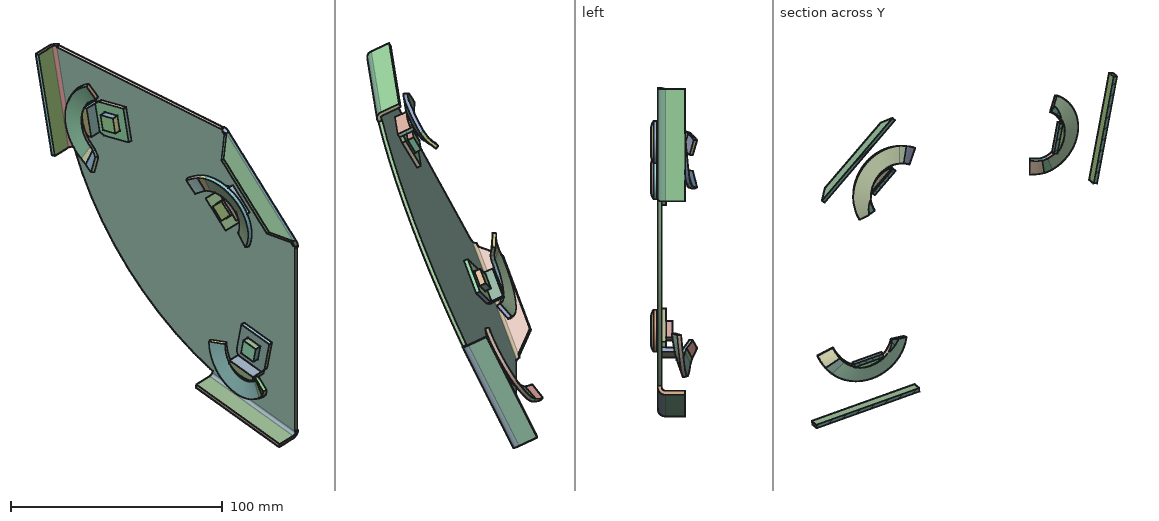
import cadquery as cq
import math


sheet = 2.0
arc_radius = 149.5
flange_depth = 13.0
bend_radius = 3.5

side_length = 54.0
side_tilt = math.radians(11.0)
edge_overhang = bend_radius * math.sin(side_tilt)
overall_width = 155.34
side_start = edge_overhang - overall_width

corner_cut = 29.35
corner_overhang = 0.4

lock_sites = [
    (-42.0, -42.0, 45.0),
    (-114.1, -24.9, 191.0),
    (-24.9, -114.1, 259.0),
]

washer_thickness = 0.5
shank_hole_diameter = 16.5

head_diameter = 20.0
head_top_diameter = 12.0
head_rim = 1.5
head_height = 2.8
shank_diameter = 15.5
square_side = 8.0
square_end = 7.0

square_hole_side = 8.4
base_thickness = 2.0
cam_thickness = 2.0
web_thickness = 1.2
web_overlap = 0.5
base_side = 18.0
tab_half_width = 7.6
tab_inside = 9.5
relief_start = 7.0
web_depth = 10.0
cam_inner_radius = 13.5
cam_outer_radius = 21.5
cam_slope = math.radians(18.0)
cam_start_depth = 8.5
cam_start_angle = -73.5
cam_end_angle = 79.0
cam_end_tilt = 22.0
cam_runs = [(126.5, 4.4), (10.5, 0.8), (20.0, 3.17)]


def mirrored(point):
    return (point[1], point[0])


def flange(start, end):
    """Bent-up strip along the outside line start-end, with the plate to the left of that line."""
    length = math.dist(start, end)
    along = ((end[0] - start[0]) / length, (end[1] - start[1]) / length, 0)
    inward = (-along[1], along[0], 0)
    profile_plane = cq.Plane(origin=(*start, 0), xDir=inward, normal=along)
    outer_mid = bend_radius - bend_radius * math.sqrt(0.5)
    inner_mid = bend_radius - (bend_radius - sheet) * math.sqrt(0.5)
    return (
        cq.Workplane(profile_plane)
        .moveTo(0, flange_depth)
        .lineTo(0, bend_radius)
        .threePointArc((outer_mid, outer_mid), (bend_radius, 0))
        .lineTo(bend_radius, sheet)
        .threePointArc((inner_mid, inner_mid), (sheet, bend_radius))
        .lineTo(sheet, flange_depth)
        .close()
        .extrude(length)
    )


side_top = (side_start, 0.0)
side_along = (math.sin(side_tilt), -math.cos(side_tilt))
side_inward = (math.cos(side_tilt), math.sin(side_tilt))
side_bottom = (side_top[0] + side_length * side_along[0], side_length * side_along[1])


def build_plate():
    bend_top = (side_start + bend_radius / math.cos(side_tilt), 0.0)
    bend_bottom = (
        side_bottom[0] + bend_radius * side_inward[0],
        side_bottom[1] + bend_radius * side_inward[1],
    )
    across = side_bottom[0] * side_inward[0] + side_bottom[1] * side_inward[1]
    down = side_bottom[0] * side_along[0] + side_bottom[1] * side_along[1]
    reach = -across - math.sqrt(arc_radius**2 - down**2)
    arc_start = (side_bottom[0] + reach * side_inward[0], side_bottom[1] + reach * side_inward[1])
    arc_mid = (-arc_radius * math.sqrt(0.5), -arc_radius * math.sqrt(0.5))
    corner_leg = (corner_cut + bend_radius) * math.sqrt(2)

    plate = (
        cq.Workplane("XY")
        .moveTo(-corner_leg, 0)
        .lineTo(*bend_top)
        .lineTo(*bend_bottom)
        .lineTo(*arc_start)
        .threePointArc(arc_mid, mirrored(arc_start))
        .lineTo(*mirrored(bend_bottom))
        .lineTo(*mirrored(bend_top))
        .lineTo(0, -corner_leg)
        .close()
        .extrude(sheet)
    )
    return (
        plate.union(flange(side_top, side_bottom))
        .union(flange(mirrored(side_bottom), mirrored(side_top)))
        .union(build_corner_flange())
    )


def build_corner_flange():
    """Flange with mitred tip corners, its bend trimmed along the plate's straight edges."""
    reach = corner_cut * math.sqrt(2) + bend_radius
    strip = flange((bend_radius, -reach), (-reach, bend_radius))
    half = corner_cut + corner_overhang * math.sqrt(2)
    tip_half = half - (flange_depth - bend_radius)
    mitre = (
        cq.Workplane(cq.Plane(origin=(0, 0, 0), xDir=(-1, 1, 0), normal=(1, 1, 0)))
        .polyline([
            (-arc_radius, 0),
            (arc_radius, 0),
            (arc_radius, bend_radius),
            (half, bend_radius),
            (tip_half, flange_depth),
            (-tip_half, flange_depth),
            (-half, bend_radius),
            (-arc_radius, bend_radius),
        ])
        .close()
        .extrude(-arc_radius)
    )
    plate_limit = (
        cq.Workplane("XY", origin=(corner_overhang - arc_radius, corner_overhang - arc_radius, 0))
        .box(arc_radius, arc_radius, flange_depth, centered=False)
    )
    return strip.intersect(mitre).intersect(plate_limit)


def build_washer():
    return (
        cq.Workplane("XY")
        .circle(head_diameter / 2)
        .circle(shank_hole_diameter / 2)
        .extrude(-washer_thickness)
    )


def build_knob():
    rim = head_diameter / 2
    top = head_top_diameter / 2
    dome_rise = head_height - head_rim
    dome_radius = ((rim - top) ** 2 + dome_rise**2) / (2 * dome_rise)
    half_angle = math.asin((rim - top) / dome_radius) / 2
    dome_mid = (
        top + dome_radius * math.sin(half_angle),
        head_height - dome_radius * (1 - math.cos(half_angle)),
    )
    head = (
        cq.Workplane("XZ")
        .lineTo(rim, 0)
        .lineTo(rim, head_rim)
        .threePointArc(dome_mid, (top, head_height))
        .lineTo(0, head_height)
        .close()
        .revolve(360, (0, 0, 0), (0, 1, 0))
        .mirror("XY")
        .translate((0, 0, -washer_thickness))
    )
    shank = cq.Workplane("XY", origin=(0, 0, -washer_thickness)).circle(shank_diameter / 2)
    square = cq.Workplane("XY").rect(square_side, square_side).extrude(square_end)
    return head.union(shank.extrude(washer_thickness + sheet)).union(square)


def build_cam_ring():
    """Helical ramp with a coned section, climbing away from the plate."""
    cone_rise = (cam_outer_radius - cam_inner_radius) * math.tan(cam_slope)
    front_inner = (cam_inner_radius, 0)
    front_outer = (cam_outer_radius, cone_rise)
    back_offset = (cam_thickness * math.sin(cam_slope), -cam_thickness * math.cos(cam_slope))
    section = [
        front_inner,
        front_outer,
        (front_outer[0] + back_offset[0], front_outer[1] + back_offset[1]),
        (front_inner[0] + back_offset[0], front_inner[1] + back_offset[1]),
    ]
    ring = None
    angle = cam_start_angle
    depth = cam_start_depth
    for sweep_angle, rise in cam_runs:
        path = cq.Workplane(cq.Wire.makeHelix(rise * 360 / sweep_angle, rise, cam_inner_radius))
        run = cq.Workplane("XZ").polyline(section).close().sweep(path, isFrenet=True)
        run = run.rotate((0, 0, 0), (0, 0, 1), angle).translate((0, 0, depth))
        ring = run if ring is None else ring.union(run)
        angle += sweep_angle
        depth += rise
    end_depth = depth + cone_rise / 2
    past_end = (
        cq.Workplane("XY")
        .box(2 * cam_outer_radius, cam_outer_radius, cam_outer_radius, centered=(False, False, True))
        .rotate((0, 0, 0), (1, 0, 0), cam_end_tilt)
        .translate((0, 0, end_depth))
        .rotate((0, 0, 0), (0, 0, 1), cam_end_angle)
    )
    return ring.cut(past_end)


def build_cam():
    """Square base, tab bent towards the front, and a web joining the tab to the cam ring."""
    half = base_side / 2
    base = (
        cq.Workplane("XY", origin=(0, 0, sheet))
        .polyline([
            (-half, -half),
            (relief_start, -half),
            (tab_inside, -tab_half_width),
            (tab_inside, tab_half_width),
            (relief_start, half),
            (-half, half),
        ])
        .close()
        .extrude(base_thickness)
    )
    tab = (
        cq.Workplane("XY", origin=(tab_inside, 0, sheet))
        .box(cam_thickness, 2 * tab_half_width, web_depth - sheet, centered=(False, True, False))
    )
    web = (
        cq.Workplane("XY", origin=(0, 0, web_depth - web_thickness))
        .circle(cam_inner_radius + web_overlap)
        .extrude(web_thickness)
        .intersect(
            cq.Workplane("XY", origin=(tab_inside, 0, 0))
            .box(base_side, 2 * tab_half_width, web_depth, centered=(False, True, False))
        )
    )
    square_hole = cq.Workplane("XY").rect(square_hole_side, square_hole_side).extrude(web_depth)
    return base.union(tab).union(web).union(build_cam_ring()).cut(square_hole)


def placed(body, site):
    x, y, angle = site
    return body.rotate((0, 0, 0), (0, 0, 1), angle).translate((x, y, 0))


def stood_up(body):
    return body.rotate((0, 0, 0), (1, 0, 0), 90)


plate = build_plate()
locks = []
for site in lock_sites:
    shank_hole = cq.Workplane("XY").circle(shank_hole_diameter / 2).extrude(sheet)
    plate = plate.cut(placed(shank_hole, site))
    locks += [placed(build(), site) for build in (build_washer, build_knob, build_cam)]

result = cq.Compound.makeCompound([stood_up(body).val() for body in [plate, *locks]])